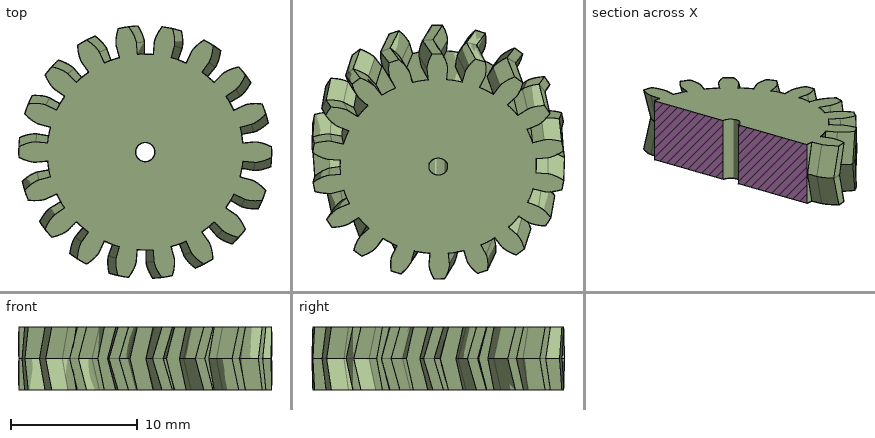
import math
import cadquery as cq

tooth_count = 18
module = 1.0
pressure_angle = math.radians(15)
helix_angle = math.radians(15)
gear_width = 5.0
bore_diameter = 1.5
dedendum_factor = 1.25

pitch_radius = module * tooth_count / 2
tip_radius = pitch_radius + module
root_radius = pitch_radius - dedendum_factor * module
base_radius = pitch_radius * math.cos(pressure_angle)

half_width = gear_width / 2
half_twist = math.degrees(half_width * math.tan(helix_angle) / pitch_radius)
tooth_pitch_angle = 2 * math.pi / tooth_count

tooth_foot_radius = root_radius - module / 2
flank_point_count = 6


def polar(radius, angle):
    return (radius * math.cos(angle), radius * math.sin(angle))


def involute(angle):
    return math.tan(angle) - angle


base_half_angle = tooth_pitch_angle / 4 + involute(pressure_angle)


def flank_points(side):
    """Involute points from base circle to tip; side is +1 or -1 about the tooth centreline."""
    tip_roll = math.sqrt((tip_radius / base_radius) ** 2 - 1)
    points = []
    for i in range(flank_point_count):
        roll = tip_roll * i / (flank_point_count - 1)
        radius = base_radius * math.sqrt(1 + roll**2)
        half_angle = base_half_angle - (roll - math.atan(roll))
        points.append(polar(radius, side * half_angle))
    return points


def tooth_outline():
    """Closed profile of one tooth on the bottom plane, centred on +X."""
    right_flank = flank_points(-1)
    left_flank = flank_points(1)[::-1]
    return (
        cq.Workplane("XY")
        .moveTo(*polar(tooth_foot_radius, -base_half_angle))
        .lineTo(*right_flank[0])
        .spline(right_flank[1:], includeCurrent=True)
        .threePointArc((tip_radius, 0), left_flank[0])
        .spline(left_flank[1:], includeCurrent=True)
        .lineTo(*polar(tooth_foot_radius, base_half_angle))
        .close()
    )


def herringbone_tooth():
    lower_half = tooth_outline().twistExtrude(half_width, -half_twist)
    upper_half = lower_half.mirror("XY", (0, 0, half_width))
    return lower_half.union(upper_half)


def herringbone_gear():
    gear = cq.Workplane("XY").circle(root_radius).extrude(gear_width)
    tooth = herringbone_tooth()
    for i in range(tooth_count):
        turn = math.degrees(i * tooth_pitch_angle)
        gear = gear.union(tooth.rotate((0, 0, 0), (0, 0, 1), turn))
    return gear


def cut_bore(body):
    bore = cq.Workplane("XY").circle(bore_diameter / 2).extrude(gear_width)
    return body.cut(bore)


result = cut_bore(herringbone_gear())